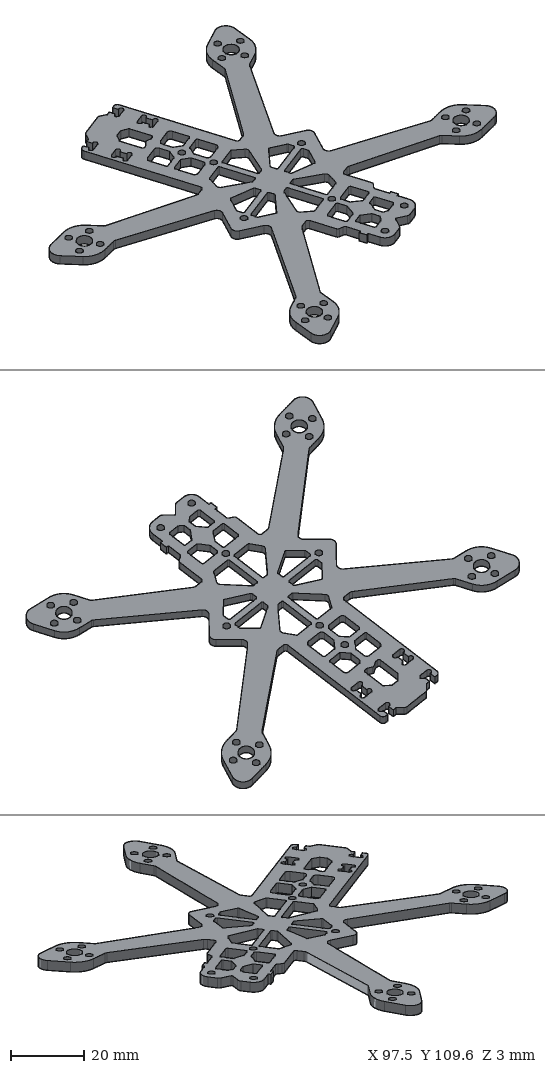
import cadquery as cq
import math

THICKNESS = 3.0
SCREW_DIAMETER = 2.1

NOSE_X = -55.0
PAD_REACH_X = 42.5
PAD_REACH_Y = 54.8

BODY_HALF_WIDTH = 11.1
BODY_LEFT_X = -53.1
BODY_CORNER_RADIUS = 1.1
NOSE_HALF_WIDTH = 4.0
NOSE_SHOULDER_Y = 5.9
RIGHT_DECK_HALF_WIDTH = 9.1
RIGHT_DECK_X = 40.1
STEP_START_X = 25.2
STEP_END_X = 26.3
STEP_RADIUS = 0.9
LOBE_RADIUS = 3.1
LOBE_LOW_Y = 2.8
LOBE_LOW_RADIUS = 1.3
NOTCH_RADIUS = 0.3
TAB_X = 32.2
TAB_WIDTH = 2.3
TAB_HEIGHT = 0.8

DIAMOND_REACH = 24.8
DIAMOND_TIP_RADIUS = 1.9
HUB_HALF_LENGTH = 15.8
HUB_SHOULDER_Y = 14.3
HUB_CORNER_RADIUS = 0.8
ARM_ROOT_RADIUS = 1.6
CROTCH_X = 7.6

ARM_ANGLE = 52.6
ARM_INNER_HALF_WIDTH = 3.6
ARM_OUTER_HALF_WIDTH = 3.3
NECK_RADIUS = 1.1
PAD_RADIUS = 6.8
PAD_TIP_RADIUS = 3.2
PAD_TAPER_ANGLE = 30
MOTOR_BORE_DIAMETER = 4.5
MOTOR_SCREW_CIRCLE_RADIUS = 4.5
MOTOR_SCREW_ANGLE = 8.5

TIP_OFFSET = (PAD_RADIUS - PAD_TIP_RADIUS) / math.sin(math.radians(PAD_TAPER_ANGLE))
MOTOR_X = PAD_REACH_X - PAD_TIP_RADIUS - TIP_OFFSET * math.cos(math.radians(ARM_ANGLE))
MOTOR_Y = PAD_REACH_Y - PAD_TIP_RADIUS - TIP_OFFSET * math.sin(math.radians(ARM_ANGLE))

RIB_HALF_WIDTH = 1.0
WINDOW_OUTER_Y = 7.1
SHARP_RADIUS = 0.3
SMALL_RADIUS = 0.5
LARGE_RADIUS = 1.1

HUB_SCREW_DISTANCE = 18.0
LEFT_SCREW_X = -27.6
LOBE_SCREW_X = RIGHT_DECK_X - LOBE_RADIUS
LOBE_SCREW_Y = RIGHT_DECK_HALF_WIDTH - LOBE_RADIUS

STRAP_SLOT_XS = (-42.0, -52.4)
STRAP_SLOT_Y = 8.1
STRAP_SLOT_LENGTH = 4.9
STRAP_SLOT_WIDTH = 2.1
STRAP_SLOT_END_HEIGHT = 3.9
STRAP_SLOT_END_WIDTH = 1.4


def plate(corners):
    """Plate with straight sides between (x, y, radius) corners, each rounded by a tangent arc."""
    stretches = []
    for i, (x, y, radius) in enumerate(corners):
        corner = cq.Vector(x, y)
        if radius == 0:
            stretches.append([(x, y)])
            continue
        before = cq.Vector(*corners[i - 1][:2])
        after = cq.Vector(*corners[(i + 1) % len(corners)][:2])
        back = (before - corner).normalized()
        ahead = (after - corner).normalized()
        half_angle = back.getAngle(ahead) / 2
        setback = radius / math.tan(half_angle)
        arc_gap = radius / math.sin(half_angle) - radius
        arc = [
            corner + back * setback,
            corner + (back + ahead).normalized() * arc_gap,
            corner + ahead * setback,
        ]
        stretches.append([(point.x, point.y) for point in arc])

    outline = cq.Workplane("XY").moveTo(*stretches[0][-1])
    for stretch in stretches[1:] + stretches[:1]:
        outline = outline.lineTo(*stretch[0])
        if len(stretch) > 1:
            outline = outline.threePointArc(*stretch[1:])
    return outline.close().extrude(THICKNESS)


def mirrored_x(corners):
    """The same corners with X reversed, kept in a consistent walking order."""
    return [(-x, y, radius) for x, y, radius in reversed(corners)]


def mirrored_y(corners):
    """The same corners with Y reversed, kept in a consistent walking order."""
    return [(x, -y, radius) for x, y, radius in reversed(corners)]


def arm_corners():
    """Corners of the +X +Y arm, from the body edge round the motor pad to the hub diamond."""
    angle = math.radians(ARM_ANGLE)
    taper = math.radians(PAD_TAPER_ANGLE)
    pad_side = PAD_RADIUS / math.cos(taper)
    pad_tip = PAD_RADIUS / math.sin(taper)

    def on_arm(along, across, radius):
        """Corner measured from the motor centre, outward along the arm and to its left."""
        x = MOTOR_X + along * math.cos(angle) - across * math.sin(angle)
        y = MOTOR_Y + along * math.sin(angle) + across * math.cos(angle)
        return (x, y, radius)

    def neck(half_width):
        """Distance along the arm at which the tapering pad meets an arm edge."""
        return -(pad_side - half_width) / math.tan(taper)

    return [
        (HUB_HALF_LENGTH, BODY_HALF_WIDTH, HUB_CORNER_RADIUS),
        (HUB_HALF_LENGTH, HUB_SHOULDER_Y, ARM_ROOT_RADIUS),
        on_arm(neck(ARM_OUTER_HALF_WIDTH), -ARM_OUTER_HALF_WIDTH, NECK_RADIUS),
        on_arm(0, -pad_side, PAD_RADIUS),
        on_arm(pad_tip, 0, PAD_TIP_RADIUS),
        on_arm(0, pad_side, PAD_RADIUS),
        on_arm(neck(ARM_INNER_HALF_WIDTH), ARM_INNER_HALF_WIDTH, NECK_RADIUS),
        (CROTCH_X, DIAMOND_REACH - CROTCH_X, ARM_ROOT_RADIUS),
    ]


def frame_plate():
    """Solid outline of the body, hub and arms; the +Y half is mirrored to the -Y half."""
    tab_y = RIGHT_DECK_HALF_WIDTH + TAB_HEIGHT
    notch = [(RIGHT_DECK_X - LOBE_LOW_Y, 0, NOTCH_RADIUS)]
    right_deck = [
        (RIGHT_DECK_X, LOBE_LOW_Y, LOBE_LOW_RADIUS),
        (RIGHT_DECK_X, RIGHT_DECK_HALF_WIDTH, LOBE_RADIUS),
        (TAB_X + TAB_WIDTH / 2, RIGHT_DECK_HALF_WIDTH, 0),
        (TAB_X + TAB_WIDTH / 2, tab_y, 0),
        (TAB_X - TAB_WIDTH / 2, tab_y, 0),
        (TAB_X - TAB_WIDTH / 2, RIGHT_DECK_HALF_WIDTH, 0),
        (STEP_END_X, RIGHT_DECK_HALF_WIDTH, STEP_RADIUS),
        (STEP_START_X, BODY_HALF_WIDTH, STEP_RADIUS),
    ]
    diamond_tip = [(0, DIAMOND_REACH, DIAMOND_TIP_RADIUS)]
    left_deck = [
        (BODY_LEFT_X, BODY_HALF_WIDTH, BODY_CORNER_RADIUS),
        (BODY_LEFT_X, NOSE_SHOULDER_Y, 0),
        (NOSE_X, NOSE_HALF_WIDTH, BODY_CORNER_RADIUS),
    ]
    arm = arm_corners()
    upper = right_deck + arm + diamond_tip + mirrored_x(arm) + left_deck
    return plate(notch + upper + mirrored_y(upper))


def hub_windows():
    """The +Y windows between the spokes of the hub."""
    beside_x_rib = [
        (4.7, RIB_HALF_WIDTH, SHARP_RADIUS),
        (16.0, RIB_HALF_WIDTH, SHARP_RADIUS),
        (16.0, 6.8, SHARP_RADIUS),
        (12.0, 9.3, LARGE_RADIUS),
        (4.7, 2.8, SHARP_RADIUS),
    ]
    beside_y_rib = [
        (RIB_HALF_WIDTH, 5.0, SHARP_RADIUS),
        (3.2, 5.0, SMALL_RADIUS),
        (7.1, 12.0, SHARP_RADIUS),
        (3.2, 16.0, SMALL_RADIUS),
        (RIB_HALF_WIDTH, 16.0, SMALL_RADIUS),
    ]
    right = [beside_x_rib, beside_y_rib]
    return right + [mirrored_x(corners) for corners in right]


def deck_windows():
    """The +Y windows of the left and right decks, cut back around the screws and the centre web."""
    left_outer = [
        (-35.0, RIB_HALF_WIDTH, LARGE_RADIUS),
        (-30.9, RIB_HALF_WIDTH, 0),
        (-28.6, 2.8, 0),
        (-28.6, WINDOW_OUTER_Y, SHARP_RADIUS),
        (-35.0, WINDOW_OUTER_Y, LARGE_RADIUS),
    ]
    left_inner = [
        (-24.4, RIB_HALF_WIDTH, 0),
        (-19.7, RIB_HALF_WIDTH, LARGE_RADIUS),
        (-19.7, WINDOW_OUTER_Y, LARGE_RADIUS),
        (-26.6, WINDOW_OUTER_Y, SMALL_RADIUS),
        (-26.6, 2.8, 0),
    ]
    right_inner = [
        (19.8, RIB_HALF_WIDTH, SMALL_RADIUS),
        (23.0, RIB_HALF_WIDTH, SHARP_RADIUS),
        (26.0, 3.1, SHARP_RADIUS),
        (26.0, WINDOW_OUTER_Y, SMALL_RADIUS),
        (19.8, WINDOW_OUTER_Y, SMALL_RADIUS),
    ]
    right_outer = [
        (30.6, RIB_HALF_WIDTH, SHARP_RADIUS),
        (33.1, RIB_HALF_WIDTH, SHARP_RADIUS),
        (34.1, 2.3, SHARP_RADIUS),
        (34.1, 5.9, SMALL_RADIUS),
        (27.9, 5.9, SHARP_RADIUS),
        (27.9, 3.1, SHARP_RADIUS),
    ]
    return [left_outer, left_inner, right_inner, right_outer]


def nose_window():
    """The single window on the X axis, with a bulge in its right side and a tapered left end."""
    bulge = [(-38.7, 0, SMALL_RADIUS)]
    upper = [
        (-37.8, 1.6, SHARP_RADIUS),
        (-37.8, 3.0, SMALL_RADIUS),
        (-45.1, 3.0, SHARP_RADIUS),
        (-46.8, 1.1, SHARP_RADIUS),
    ]
    return bulge + upper + mirrored_y(upper)


def strap_slots():
    """Bone-shaped slots; those farthest left are open to the body edge."""
    centres = [(x, side * STRAP_SLOT_Y) for x in STRAP_SLOT_XS for side in (1, -1)]
    waist_length = STRAP_SLOT_LENGTH - STRAP_SLOT_END_WIDTH
    ends = [(x + side * waist_length / 2, y) for x, y in centres for side in (1, -1)]
    waists = cq.Workplane("XY").pushPoints(centres).rect(waist_length, STRAP_SLOT_WIDTH)
    lobes = cq.Workplane("XY").pushPoints(ends).slot2D(STRAP_SLOT_END_HEIGHT, STRAP_SLOT_END_WIDTH, 90)
    return waists.extrude(THICKNESS).union(lobes.extrude(THICKNESS))


def round_holes(centres, diameter):
    return cq.Workplane("XY").pushPoints(centres).circle(diameter / 2).extrude(THICKNESS)


def body_screws():
    screws = [(LEFT_SCREW_X, 0)]
    for side in (1, -1):
        screws.append((side * HUB_SCREW_DISTANCE, 0))
        screws.append((0, side * HUB_SCREW_DISTANCE))
        screws.append((LOBE_SCREW_X, side * LOBE_SCREW_Y))
    return screws


def motor_screws(motor):
    """Four screws round a motor; their tilt is mirrored from one arm to the next."""
    x, y = motor
    tilt = math.copysign(MOTOR_SCREW_ANGLE, x * y)
    angles = [math.radians(tilt + quarter_turn) for quarter_turn in (0, 90, 180, 270)]
    r = MOTOR_SCREW_CIRCLE_RADIUS
    return [(x + r * math.cos(angle), y + r * math.sin(angle)) for angle in angles]


result = frame_plate().cut(plate(nose_window())).cut(strap_slots())

for window in hub_windows() + deck_windows():
    result = result.cut(plate(window)).cut(plate(mirrored_y(window)))

motors = [(side_x * MOTOR_X, side_y * MOTOR_Y) for side_x in (1, -1) for side_y in (1, -1)]
screw_centres = body_screws()
for motor_centre in motors:
    screw_centres += motor_screws(motor_centre)
result = result.cut(round_holes(motors, MOTOR_BORE_DIAMETER))
result = result.cut(round_holes(screw_centres, SCREW_DIAMETER))